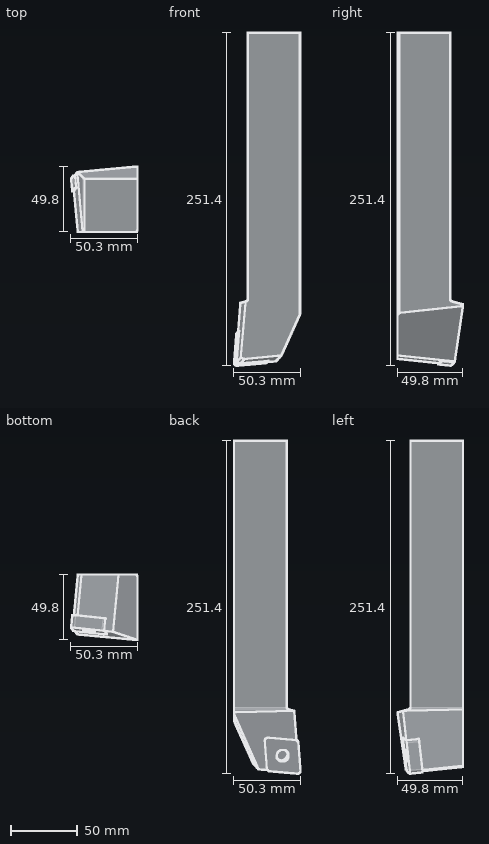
import cadquery as cq
import math


SHANK_SIDE = 40.0
TOOL_LENGTH = 251.3
SHANK_BOTTOM = 45.2
EDGE_BEVEL_X = 0.8
EDGE_BEVEL_Y = 1.8

RAKE_RISE_X = 0.096
RAKE_RISE_Z = 0.105

CUTTING_CORNER = (-10.5, 40.0, -0.3)
NOSE_ANGLE = 80.0
INSCRIBED_DIAMETER = 25.5
INSERT_THICKNESS = 9.5
INSERT_HOLE_DIAMETER = 9.0
INSERT_NOSE_RADIUS = 2.4

SIDE_OVERHANG = 1.3
BOTTOM_OVERHANG = 0.8
HEAD_BOTTOM_LENGTH = 31.0
BACK_SLOPE_ANGLE = 65.6
HEAD_NOSE_BEVEL_BOTTOM = 3.0
HEAD_NOSE_BEVEL_SIDE = 1.3
LEDGE_HEIGHT = 49.0
LEDGE_FALL = 15.0
LEDGE_FILLET = 1.5
OVERSIZE = 100.5

EDGE_TILT = (90.0 - NOSE_ANGLE) / 2
BOTTOM_DIRECTION = EDGE_TILT
SIDE_DIRECTION = 90.0 - EDGE_TILT

rake_plane = cq.Plane(
    origin=CUTTING_CORNER,
    xDir=(1, RAKE_RISE_X, 0),
    normal=(RAKE_RISE_X, -1, RAKE_RISE_Z),
)


def step(point, distance, angle):
    """Point reached from another by going a distance at an angle in degrees."""
    turn = math.radians(angle)
    return (point[0] + distance * math.cos(turn), point[1] + distance * math.sin(turn))


def make_insert_parts():
    """Rounded rhombic body and the centre hole to be cut from it."""
    edge = INSCRIBED_DIAMETER / math.sin(math.radians(NOSE_ANGLE))
    corner = (0, 0)
    bottom_end = step(corner, edge, BOTTOM_DIRECTION)
    side_end = step(corner, edge, SIDE_DIRECTION)
    far_corner = step(bottom_end, edge, SIDE_DIRECTION)
    body = (
        cq.Workplane(rake_plane)
        .polyline([corner, bottom_end, far_corner, side_end])
        .close()
        .extrude(INSERT_THICKNESS)
        .edges(cq.ParallelDirSelector(rake_plane.zDir))
        .fillet(INSERT_NOSE_RADIUS)
    )
    hole = (
        cq.Workplane(rake_plane)
        .center(far_corner[0] / 2, far_corner[1] / 2)
        .circle(INSERT_HOLE_DIAMETER / 2)
        .extrude(INSERT_THICKNESS)
    )
    return body, hole


def make_head_prism():
    """Head walls, square to the rake face, before trimming."""
    skew = math.sin(math.radians(NOSE_ANGLE))
    below_corner = step((0, 0), SIDE_OVERHANG / skew, BOTTOM_DIRECTION)
    corner = step(below_corner, BOTTOM_OVERHANG / skew, SIDE_DIRECTION)
    bottom_end = step(corner, HEAD_BOTTOM_LENGTH, BOTTOM_DIRECTION)
    bevel_bottom = step(corner, HEAD_NOSE_BEVEL_BOTTOM, BOTTOM_DIRECTION)
    bevel_side = step(corner, HEAD_NOSE_BEVEL_SIDE, SIDE_DIRECTION)
    slope_end = step(bottom_end, OVERSIZE, BACK_SLOPE_ANGLE)
    side_end = step(corner, OVERSIZE, SIDE_DIRECTION)
    return (
        cq.Workplane(rake_plane)
        .polyline([bevel_bottom, bottom_end, slope_end, side_end, bevel_side])
        .close()
        .extrude(OVERSIZE)
    )


def make_head_limits():
    """Space bounded by the flat front and right sides and the two falling ledges."""
    span = 2 * OVERSIZE
    drop = OVERSIZE * math.tan(math.radians(LEDGE_FALL))
    base = -OVERSIZE
    under_side_ledge = (
        cq.Workplane("XZ")
        .polyline([
            (-OVERSIZE, base),
            (SHANK_SIDE, base),
            (SHANK_SIDE, LEDGE_HEIGHT),
            (0, LEDGE_HEIGHT),
            (-OVERSIZE, LEDGE_HEIGHT - drop),
        ])
        .close()
        .extrude(-OVERSIZE)
    )
    under_back_ledge = (
        cq.Workplane("YZ", origin=(-OVERSIZE, 0, 0))
        .polyline([
            (0, base),
            (SHANK_SIDE + OVERSIZE, base),
            (SHANK_SIDE + OVERSIZE, LEDGE_HEIGHT - drop),
            (SHANK_SIDE, LEDGE_HEIGHT),
            (0, LEDGE_HEIGHT),
        ])
        .close()
        .extrude(span)
    )
    return under_side_ledge.intersect(under_back_ledge)


def make_edge_bevel():
    """Wedge that bevels the front right edge along the whole tool."""
    return (
        cq.Workplane("XY")
        .polyline([
            (SHANK_SIDE - EDGE_BEVEL_X, 0),
            (SHANK_SIDE, 0),
            (SHANK_SIDE, EDGE_BEVEL_Y),
        ])
        .close()
        .extrude(TOOL_LENGTH)
    )


def make_holder(insert_body):
    """Shank and head in one piece, with a flat-floored pocket for the insert."""
    shank = cq.Workplane("XY", origin=(0, 0, SHANK_BOTTOM)).box(
        SHANK_SIDE, SHANK_SIDE, TOOL_LENGTH - SHANK_BOTTOM, centered=False
    )
    head = make_head_prism().intersect(make_head_limits())
    holder = head.union(shank)
    side_joint = cq.NearestToPointSelector((0, SHANK_SIDE / 2, LEDGE_HEIGHT))
    back_joint = cq.NearestToPointSelector((SHANK_SIDE / 2, SHANK_SIDE, LEDGE_HEIGHT))
    holder = holder.edges(cq.selectors.SumSelector(side_joint, back_joint)).fillet(LEDGE_FILLET)
    return holder.cut(make_edge_bevel()).cut(insert_body)


insert_body, insert_hole = make_insert_parts()
insert = insert_body.cut(insert_hole)
holder = make_holder(insert_body)

result = cq.Compound.makeCompound([holder.val(), insert.val()])